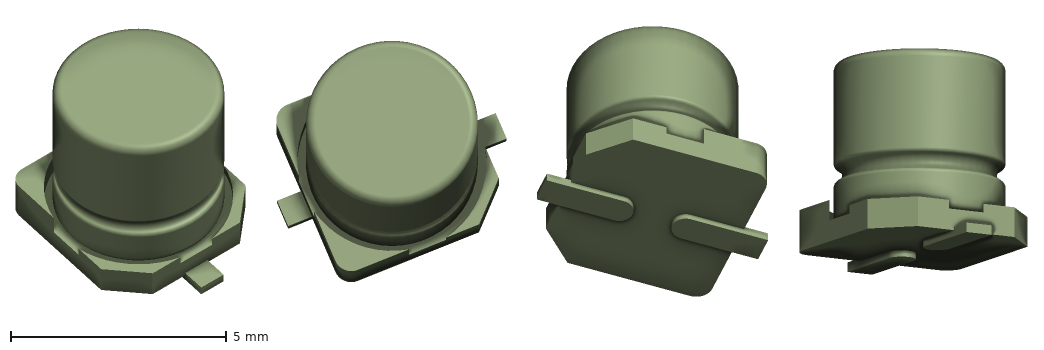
import cadquery as cq
import math

overall_length = 5.5
overall_height = 4.5

base_width = 4.3
base_bottom = 0.15
base_high_top = 1.135
base_low_top = 0.85
base_corner_radius = 0.4
base_chamfer = 0.85
recess_radius = 2.2
recess_floor = 0.65

can_diameter = 4.0
can_radius = can_diameter / 2
can_edge_radius = 0.2

groove_height = 1.835
groove_radius = can_edge_radius
groove_blend = groove_radius / 2

lead_width = 0.665
lead_thickness = 0.225
lead_gap = 0.99


def make_base():
    high_thickness = base_high_top - base_bottom
    plate = (
        cq.Workplane("XY")
        .workplane(offset=base_bottom)
        .rect(base_width, base_width)
        .extrude(high_thickness)
    )
    plate = plate.edges("|Z and <X").fillet(base_corner_radius)
    plate = plate.edges("|Z and >X").chamfer(base_chamfer)

    lowered_half = (
        cq.Workplane("XY")
        .workplane(offset=base_low_top)
        .rect(base_width, base_width)
        .extrude(base_high_top - base_low_top)
        .translate((base_width / 2, 0, 0))
    )
    recess = (
        cq.Workplane("XY")
        .workplane(offset=recess_floor)
        .circle(recess_radius)
        .extrude(base_high_top - recess_floor)
    )
    return plate.cut(lowered_half).cut(recess)


def make_can():
    center_distance = groove_radius + groove_blend
    blend_rise = math.sqrt(center_distance**2 - groove_blend**2)
    blend_center_radius = can_radius - groove_blend
    tangent_share = groove_radius / center_distance
    tangent_radius = can_radius - groove_blend * tangent_share
    tangent_rise = blend_rise * tangent_share

    half_angle = math.atan2(blend_rise, groove_blend) / 2
    blend_mid_radius = blend_center_radius + groove_blend * math.cos(half_angle)
    blend_mid_rise = blend_rise - groove_blend * math.sin(half_angle)

    profile = (
        cq.Workplane("XZ")
        .moveTo(0, recess_floor)
        .lineTo(can_radius, recess_floor)
        .lineTo(can_radius, groove_height - blend_rise)
        .threePointArc(
            (blend_mid_radius, groove_height - blend_mid_rise),
            (tangent_radius, groove_height - tangent_rise),
        )
        .threePointArc(
            (can_radius - groove_radius, groove_height),
            (tangent_radius, groove_height + tangent_rise),
        )
        .threePointArc(
            (blend_mid_radius, groove_height + blend_mid_rise),
            (can_radius, groove_height + blend_rise),
        )
        .lineTo(can_radius, overall_height)
        .lineTo(0, overall_height)
        .close()
    )
    can = profile.revolve(360, (0, 0, 0), (0, 1, 0))
    return can.faces("<Z or >Z").edges().fillet(can_edge_radius)


def make_lead(side):
    half_width = lead_width / 2
    inner_end = side * lead_gap / 2
    round_start = inner_end + side * half_width
    outer_end = side * overall_length / 2
    return (
        cq.Workplane("XY")
        .moveTo(outer_end, -half_width)
        .lineTo(round_start, -half_width)
        .threePointArc((inner_end, 0), (round_start, half_width))
        .lineTo(outer_end, half_width)
        .close()
        .extrude(lead_thickness)
    )


result = make_base().union(make_can())
for side in (-1, 1):
    result = result.union(make_lead(side))